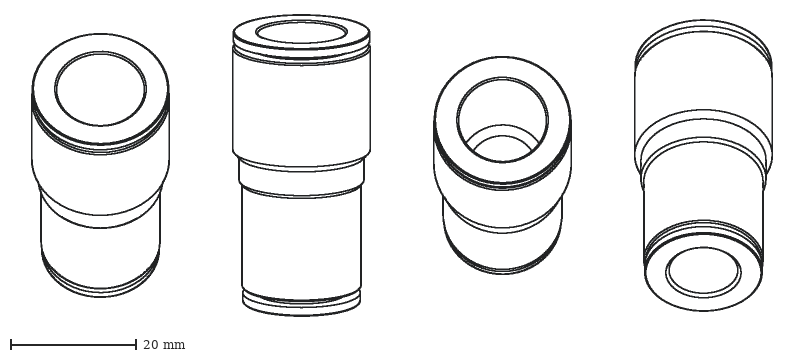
import cadquery as cq

total_height = 44.5
edge_chamfer = 0.25

collar_thickness = 1.45
collar_gap = 1.0
collar_chamfer = 0.2
upper_collar_diameter = 21.8
lower_collar_diameter = 18.8
upper_neck_diameter = 16.0
lower_neck_diameter = 14.0
upper_root_diameter = 16.6
lower_root_diameter = 14.6
neck_root_height = 0.1
neck_flare = 0.1
neck_flare_height = 0.3

upper_body_diameter = 22.0
middle_body_diameter = 20.0
lower_body_diameter = 19.05
upper_shoulder_top = 25.05
lower_shoulder_top = 20.05
upper_shoulder_height = 1.05
lower_shoulder_height = 0.6

socket_diameter = 14.0
socket_mouth_diameter = 14.6
through_diameter = 11.0
through_mouth_diameter = 12.0
socket_floor = 24.05
socket_taper_height = 0.9

body_bottom = collar_thickness + collar_gap
body_top = total_height - collar_thickness - collar_gap


def disc(bottom, top, diameter):
    """Solid cylinder on the Z axis between two heights."""
    return cq.Workplane("XY").workplane(offset=bottom).circle(diameter / 2).extrude(top - bottom)


def cone(bottom, top, bottom_diameter, top_diameter):
    """Solid truncated cone on the Z axis between two heights."""
    profile = [
        (0, bottom),
        (bottom_diameter / 2, bottom),
        (top_diameter / 2, top),
        (0, top),
    ]
    return cq.Workplane("XZ").polyline(profile).close().revolve(360, (0, 0, 0), (0, 1, 0))


def make_body():
    upper_shoulder_bottom = upper_shoulder_top - upper_shoulder_height
    lower_shoulder_bottom = lower_shoulder_top - lower_shoulder_height
    lower = disc(body_bottom, lower_shoulder_bottom, lower_body_diameter)
    lower = lower.faces("<Z").chamfer(edge_chamfer)
    middle = disc(lower_shoulder_top, upper_shoulder_bottom, middle_body_diameter)
    upper = disc(upper_shoulder_top, body_top, upper_body_diameter)
    upper = upper.faces(">Z").chamfer(edge_chamfer)
    lower_shoulder = cone(lower_shoulder_bottom, lower_shoulder_top, lower_body_diameter, middle_body_diameter)
    upper_shoulder = cone(upper_shoulder_bottom, upper_shoulder_top, middle_body_diameter, upper_body_diameter)
    return lower.union(lower_shoulder).union(middle).union(upper_shoulder).union(upper)


def make_upper_collar():
    flange_bottom = total_height - collar_thickness
    flange = disc(flange_bottom, total_height, upper_collar_diameter)
    flange = flange.faces(">Z").chamfer(collar_chamfer)
    neck = disc(body_top, flange_bottom, upper_neck_diameter)
    root = disc(body_top, body_top + neck_root_height, upper_root_diameter)
    flared_diameter = upper_neck_diameter + 2 * neck_flare
    flare = cone(flange_bottom - neck_flare_height, flange_bottom, upper_neck_diameter, flared_diameter)
    return flange.union(neck).union(root).union(flare)


def make_lower_collar():
    flange = disc(0, collar_thickness, lower_collar_diameter)
    flange = flange.faces("<Z").chamfer(collar_chamfer)
    neck = disc(collar_thickness, body_bottom, lower_neck_diameter)
    root = disc(body_bottom - neck_root_height, body_bottom, lower_root_diameter)
    flared_diameter = lower_neck_diameter + 2 * neck_flare
    flare_top = collar_thickness + neck_flare_height
    flare = cone(collar_thickness, flare_top, flared_diameter, lower_neck_diameter)
    return flange.union(neck).union(root).union(flare)


def make_bore():
    socket_mouth_depth = (socket_mouth_diameter - socket_diameter) / 2
    through_mouth_depth = (through_mouth_diameter - through_diameter) / 2
    socket_mouth_bottom = total_height - socket_mouth_depth
    through = disc(0, total_height, through_diameter)
    lower_mouth = cone(0, through_mouth_depth, through_mouth_diameter, through_diameter)
    taper = cone(socket_floor - socket_taper_height, socket_floor, through_diameter, socket_diameter)
    socket = disc(socket_floor, total_height, socket_diameter)
    upper_mouth = cone(socket_mouth_bottom, total_height, socket_diameter, socket_mouth_diameter)
    return through.union(lower_mouth).union(taper).union(socket).union(upper_mouth)


result = make_body().union(make_upper_collar()).union(make_lower_collar()).cut(make_bore())